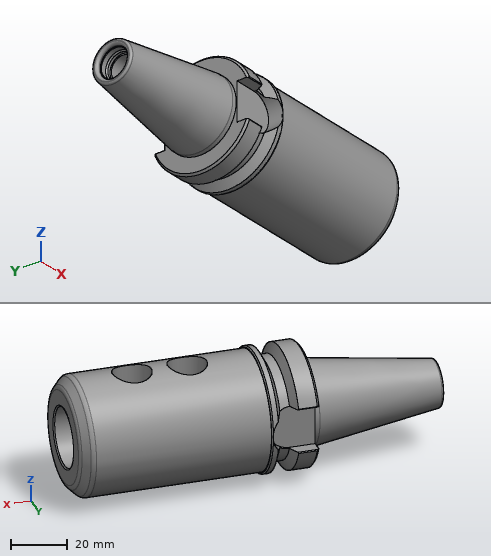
import cadquery as cq
import math

length = 138.7
taper_end_x = 48.5
flange_start_x = 50.5
flange_end_x = 58.3
groove_floor_start_x = 60.3
groove_floor_end_x = 64.1
ring_start_x = 66.2
ring_end_x = 68.7

gauge_radius = 31.9 / 2
flange_radius = 46.0 / 2
groove_radius = 38.3 / 2
body_radius = 44.4 / 2
taper_ratio = 7 / 24
tip_radius = gauge_radius - taper_ratio / 2 * taper_end_x

tip_fillet = 1.0
flange_chamfer = 0.8
ring_chamfer = 0.49
slot_edge_chamfer = 0.4
nose_chamfer = 4.0
nose_fillet = 2.5

slot_width = 16.6
slot_floor_y = 16.4
slot_tip_x = 68.3

stud_mouth_radius = 13.0 / 2
stud_mouth_fillet = 1.2
stud_mouth_depth = 1.8
stud_counterbore_radius = 12.5 / 2
stud_counterbore_depth = 4.5
stud_seat_radius = 11.4 / 2
stud_seat_depth = 6.2
stud_hole_radius = 10.1 / 2

tool_bore_radius = 22.2 / 2
tool_bore_mouth_radius = 23.2 / 2
tool_bore_start_x = 77.7

screw_hole_diameter = 14.3
screw_hole_x = (92.7, 113.2)


def revolve_about_x(profile):
    return profile.close().revolve(360, (0, 0, 0), (1, 0, 0))


def make_blank():
    """Taper, grooved flange and cylindrical body, without the bores."""
    blank = revolve_about_x(
        cq.Workplane("XY")
        .moveTo(0, 0)
        .lineTo(0, tip_radius)
        .lineTo(taper_end_x, gauge_radius)
        .lineTo(flange_start_x, gauge_radius)
        .lineTo(flange_start_x, flange_radius - flange_chamfer)
        .lineTo(flange_start_x + flange_chamfer, flange_radius)
        .lineTo(flange_end_x, flange_radius)
        .lineTo(groove_floor_start_x, groove_radius)
        .lineTo(groove_floor_end_x, groove_radius)
        .lineTo(ring_start_x, flange_radius)
        .lineTo(ring_end_x - ring_chamfer, flange_radius)
        .lineTo(ring_end_x, flange_radius - ring_chamfer)
        .lineTo(ring_end_x, body_radius)
        .lineTo(length - nose_chamfer, body_radius)
        .lineTo(length, body_radius - nose_chamfer)
        .lineTo(length, 0)
    )
    selection_margin = 0.1
    shoulder = cq.selectors.BoxSelector(
        (length - nose_chamfer - selection_margin, -length, -length),
        (length - nose_chamfer + selection_margin, length, length),
        boundingbox=True,
    )
    blank = blank.edges(shoulder).fillet(nose_fillet)
    blank = blank.faces(">X").edges().fillet(nose_fillet)
    return blank.faces("<X").edges().fillet(tip_fillet)


def make_bores():
    """Stepped bore along the axis: pull-stud seat, through hole and tool bore."""
    mouth_cone_depth = stud_mouth_radius - stud_counterbore_radius
    seat_cone_depth = stud_counterbore_radius - stud_seat_radius
    tool_mouth_depth = tool_bore_mouth_radius - tool_bore_radius
    return revolve_about_x(
        cq.Workplane("XY")
        .moveTo(0, 0)
        .lineTo(0, stud_mouth_radius + stud_mouth_fillet)
        .radiusArc((stud_mouth_fillet, stud_mouth_radius), -stud_mouth_fillet)
        .lineTo(stud_mouth_depth, stud_mouth_radius)
        .lineTo(stud_mouth_depth + mouth_cone_depth, stud_counterbore_radius)
        .lineTo(stud_counterbore_depth, stud_counterbore_radius)
        .lineTo(stud_counterbore_depth + seat_cone_depth, stud_seat_radius)
        .lineTo(stud_seat_depth, stud_seat_radius)
        .lineTo(stud_seat_depth, stud_hole_radius)
        .lineTo(tool_bore_start_x, stud_hole_radius)
        .lineTo(tool_bore_start_x, tool_bore_radius)
        .lineTo(length - tool_mouth_depth, tool_bore_radius)
        .lineTo(length, tool_bore_mouth_radius)
        .lineTo(length, 0)
    )


def make_drive_slot():
    """Round-ended slot cutter on the +Y side, open toward the taper."""
    half_width = slot_width / 2
    arc_start_x = slot_tip_x - half_width
    return (
        cq.Workplane("XZ", origin=(0, slot_floor_y, 0))
        .moveTo(flange_start_x, -half_width)
        .lineTo(arc_start_x, -half_width)
        .threePointArc((slot_tip_x, 0), (arc_start_x, half_width))
        .lineTo(flange_start_x, half_width)
        .close()
        .extrude(-flange_radius)
    )


def make_screw_holes():
    return (
        cq.Workplane("XY")
        .pushPoints([(x, 0) for x in screw_hole_x])
        .circle(screw_hole_diameter / 2)
        .extrude(flange_radius)
    )


def chamfer_slot_edges(part):
    """Break the straight edges where the slot walls meet the flange rim."""
    edge_x = (flange_start_x + flange_chamfer + flange_end_x) / 2
    edge_z = slot_width / 2
    edge_y = math.sqrt(flange_radius**2 - edge_z**2)
    for y in (-edge_y, edge_y):
        for z in (-edge_z, edge_z):
            rim_edge = cq.selectors.NearestToPointSelector((edge_x, y, z))
            part = part.edges(rim_edge).chamfer(slot_edge_chamfer)
    return part


drive_slot = make_drive_slot()
slotted_blank = make_blank().cut(drive_slot).cut(drive_slot.mirror("XZ"))
result = chamfer_slot_edges(slotted_blank).cut(make_bores()).cut(make_screw_holes())